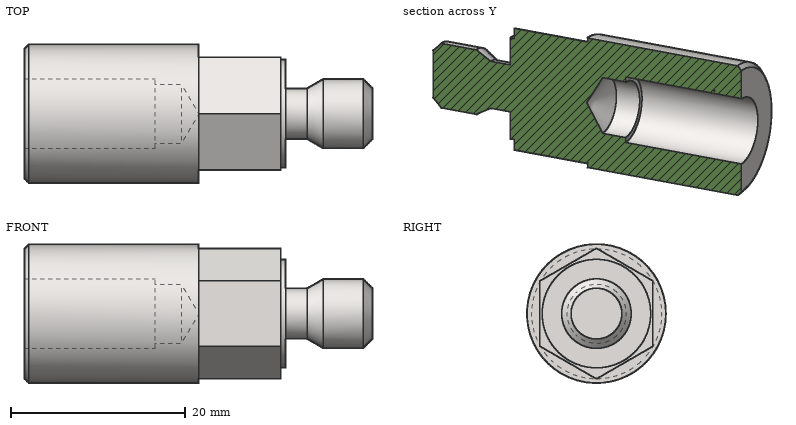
import cadquery as cq
import math

total_length = 40.0
body_end = total_length / 2
collar_end = 30.0
collar_length = 0.5
hex_end = collar_end - collar_length
neck_end = 32.5

body_radius = 8.0
body_chamfer = 0.5
hex_across_flats = 13.0
collar_radius = 6.25
stud_radius = 4.0
stud_chamfer = 1.1
neck_radius = stud_radius - stud_chamfer
neck_cone_angle = 30.0
cone_end = neck_end + stud_chamfer / math.tan(math.radians(neck_cone_angle))

entry_radius = stud_radius
entry_depth = 15.0
pilot_radius = 3.4
pilot_depth = 18.0
drill_point_angle = 118.0
drill_tip = pilot_depth + pilot_radius / math.tan(math.radians(drill_point_angle / 2))


def revolve_about_x(points):
    """Turn a closed (x, radius) outline around the X axis."""
    return cq.Workplane("XY").polyline(points).close().revolve(360, (0, 0, 0), (1, 0, 0))


def make_body():
    return (
        cq.Workplane("YZ")
        .circle(body_radius)
        .extrude(body_end)
        .faces("<X")
        .chamfer(body_chamfer)
    )


def make_hexagon():
    """Wrench hexagon with flats facing +Y and -Y and corners at +Z and -Z."""
    across_corners = hex_across_flats / math.cos(math.pi / 6)
    return (
        cq.Workplane("YZ", origin=(body_end, 0, 0))
        .transformed(rotate=(0, 0, 90))
        .polygon(6, across_corners)
        .extrude(hex_end - body_end)
    )


def make_stud():
    """Collar, neck and chamfered cylindrical head."""
    return revolve_about_x([
        (hex_end, 0),
        (hex_end, collar_radius),
        (collar_end, collar_radius),
        (collar_end, neck_radius),
        (neck_end, neck_radius),
        (cone_end, stud_radius),
        (total_length - stud_chamfer, stud_radius),
        (total_length, stud_radius - stud_chamfer),
        (total_length, 0),
    ])


def make_bore():
    return revolve_about_x([
        (0, 0),
        (0, entry_radius),
        (entry_depth, entry_radius),
        (entry_depth, pilot_radius),
        (pilot_depth, pilot_radius),
        (drill_tip, 0),
    ])


result = make_body().union(make_hexagon()).union(make_stud()).cut(make_bore())